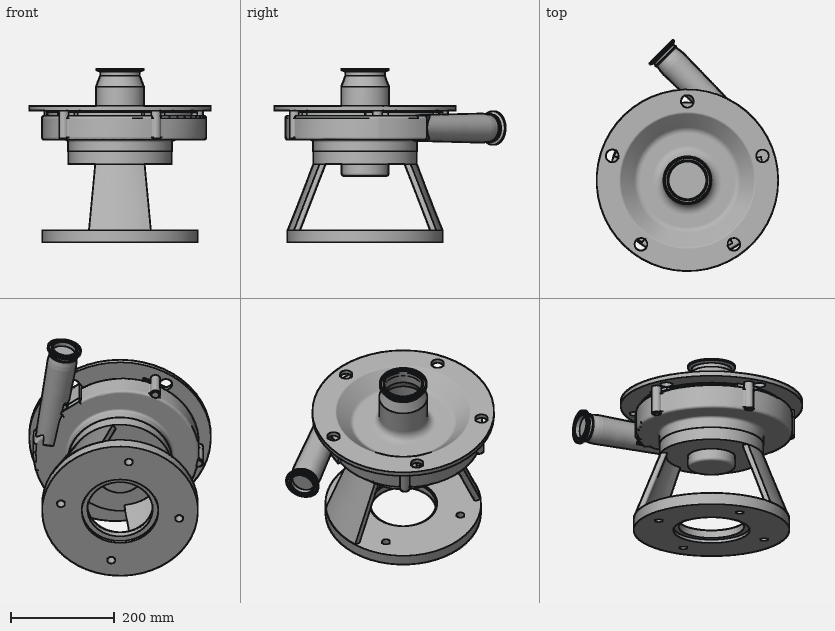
import cadquery as cq
import math

total_height = 334.5
base_height = 23.0
hub_bottom = 127.5
collar_bottom = 150.2
casing_bottom = 197.0
casing_top = 244.0
flange_bottom = 253.0
flange_top = 262.5

base_radius = 300.0 / 2
base_bore_radius = 63.0
base_bore_chamfer_width = 2.5
base_bore_chamfer_depth = 2.0
base_recess_radius = 73.5
base_recess_depth = 6.5
base_bolt_circle = 115.0
base_bolt_radius = 7.5
base_bolt_count = 4
base_bolt_first_angle = 45.0
leg_foot_radius = 149.5
leg_foot_half_width = 59.7
leg_head_half_width = 47.5
leg_thickness = 13.0
leg_edge_round = 4.0

collar_radius = 100.0
seat_bottom = 174.7
seat_radius = 100.5
seat_flare = 5.0
hub_radius = 45.5
hub_round = 5.5

spiral_start_radius = 143.5
spiral_second_radius = 148.5
spiral_third_radius = 152.0
spiral_fourth_radius = 156.5
spiral_fifth_radius = 167.0
spiral_end_radius = 167.5
casing_round = 5.5
neck_radius = 138.5
neck_groove_radius = 136.5
cutwater_left = -13.5
cutwater_right = 35.5
cutwater_face = 149.5
cutwater_depth = 26.7
cutwater_chamfer = 4.5

boss_count = 5
boss_circle = 152.5
boss_radius = 9.5
boss_bottom = 198.0
boss_chamfer = 2.2
boss_corner_round = 3.0
boss_first_angle = 9.0
tab_half_width = 22.5
tab_outer = 147.0
tab_top = 250.0

flange_radius = 350.0 / 2
flange_hole_circle = 152.0
flange_hole_radius = 12.0
flange_hole_count = 5
flange_hole_first_angle = 18.0
dish_floor = 231.5
dish_rim_radius = 129.5
dish_floor_radius = 97.0
dish_rim_round = 5.5
dish_floor_round = 15.0

inlet_radius = 46.5
inlet_root_round = 19.5
inlet_taper_bottom = 299.0
inlet_neck_bottom = 320.5
inlet_neck_radius = 38.5
inlet_clamp_radius = 45.5
clamp_rim = 3.0
clamp_cone = 3.0
inlet_bore_radius = 36.0
inlet_bore_step_top = 305.0
inlet_bore_step_bottom = 288.0
inlet_bore_wide_radius = 43.2
groove_inner_radius = 39.0
groove_outer_radius = 43.0
groove_depth = 1.5

outlet_angle = 135.0
outlet_offset = 139.5
outlet_height = 219.8
outlet_length = 211.0
outlet_clamp_radius = 32.5
outlet_neck_radius = 26.5
outlet_bead_radius = 27.5
outlet_pipe_radius = 56.5 / 2
outlet_root_radius = 25.0
outlet_bead_start = 14.0
outlet_bead_end = 12.0
outlet_neck_start = 18.0
outlet_cone_end = 25.5
outlet_cone_radius = 27.5
outlet_pipe_end = 33.5
outlet_bore_radius = 22.5
outlet_bore_depth = 9.5
outlet_groove_inner_radius = 25.0
outlet_groove_outer_radius = 29.0


def disc(radius, bottom, top):
    return cq.Workplane("XY").workplane(offset=bottom).circle(radius).extrude(top - bottom)


def ring(inner_radius, outer_radius, bottom, top):
    return disc(outer_radius, bottom, top).cut(disc(inner_radius, bottom, top))


def lathe(points):
    """Turn a closed (radius, height) outline about the Z axis."""
    return cq.Workplane("XZ").polyline(points).close().revolve(360, (0, 0, 0), (0, 1, 0))


def polar(radius, angle):
    turn = math.radians(angle)
    return (radius * math.cos(turn), radius * math.sin(turn))


def spaced_angles(first, count):
    return [first + i * 360 / count for i in range(count)]


def make_base():
    bore_mouth_radius = base_bore_radius + base_bore_chamfer_width
    bore = lathe([
        (0, 0),
        (base_recess_radius, 0),
        (base_recess_radius, base_recess_depth),
        (base_bore_radius, base_recess_depth),
        (base_bore_radius, base_height - base_bore_chamfer_depth),
        (bore_mouth_radius, base_height),
        (0, base_height),
    ])
    plate = disc(base_radius, 0, base_height).cut(bore)
    for angle in spaced_angles(base_bolt_first_angle, base_bolt_count):
        hole = disc(base_bolt_radius, 0, base_height).translate(polar(base_bolt_circle, angle) + (0,))
        plate = plate.cut(hole)
    return plate


def make_leg():
    """Tapered strip of a conical shell, on the -Y side."""
    shell = lathe([
        (leg_foot_radius - leg_thickness, base_height),
        (leg_foot_radius, base_height),
        (collar_radius, collar_bottom),
        (collar_radius - leg_thickness, collar_bottom),
    ])
    strip = (
        cq.Workplane("XZ")
        .polyline([
            (-leg_foot_half_width, base_height),
            (leg_foot_half_width, base_height),
            (leg_head_half_width, collar_bottom),
            (-leg_head_half_width, collar_bottom),
        ])
        .close()
        .extrude(base_radius)
    )
    leg = shell.intersect(strip)
    middle_height = (base_height + collar_bottom) / 2
    middle_x = (leg_foot_half_width + leg_head_half_width) / 2
    inner_radius = (leg_foot_radius + collar_radius) / 2 - leg_thickness
    inner_y = -math.sqrt(inner_radius**2 - middle_x**2)
    for side in (-1, 1):
        edge_middle = (side * middle_x, inner_y, middle_height)
        leg = leg.edges(cq.selectors.NearestToPointSelector(edge_middle)).fillet(leg_edge_round)
    return leg


def make_collar_and_hub():
    collar = disc(collar_radius, collar_bottom, seat_bottom)
    seat = disc(seat_radius, seat_bottom, casing_bottom)
    flare = (
        cq.Workplane("XZ")
        .moveTo(0, casing_bottom - seat_flare)
        .lineTo(seat_radius, casing_bottom - seat_flare)
        .radiusArc((seat_radius + seat_flare, casing_bottom), seat_flare)
        .lineTo(0, casing_bottom)
        .close()
        .revolve(360, (0, 0, 0), (0, 1, 0))
    )
    hub = disc(hub_radius, hub_bottom, collar_bottom).faces("<Z").edges().fillet(hub_round)
    return collar.union(seat).union(flare).union(hub)


def make_spiral(bottom, top):
    """Prism with the spiral outline, widening from +Y round by -X to the outlet pipe."""
    angles = spaced_angles(boss_first_angle, boss_count)
    pipe_side = outlet_angle - 90
    last_arc_middle = polar(spiral_fifth_radius, (boss_first_angle + pipe_side) / 2)
    return (
        cq.Workplane("XY")
        .workplane(offset=bottom)
        .moveTo(*polar(spiral_start_radius, angles[1]))
        .threePointArc(polar(spiral_second_radius, angles[2]), polar(spiral_third_radius, angles[3]))
        .threePointArc(polar(spiral_fourth_radius, angles[4]), polar(spiral_fifth_radius, angles[0]))
        .threePointArc(last_arc_middle, polar(spiral_end_radius, pipe_side))
        .close()
        .extrude(top - bottom)
    )


def make_casing():
    """Spiral drum with rounded rims and a stepped round neck above it."""
    drum = make_spiral(casing_bottom, casing_top).faces("<Z or >Z").edges().fillet(casing_round)
    neck = disc(neck_radius, casing_top, tab_top).union(disc(neck_groove_radius, tab_top, flange_bottom))
    return drum.union(neck)


def make_boss(angle):
    """Post up to the flange with a flat tab behind it."""
    post = disc(boss_radius, boss_bottom, flange_bottom).faces("<Z").chamfer(boss_chamfer)
    post = post.translate((boss_circle, 0, 0))
    tab_reach = tab_outer - neck_radius / 2
    tab = (
        cq.Workplane("XY")
        .box(tab_reach, 2 * tab_half_width, tab_top - casing_top, centered=(False, True, False))
        .translate((tab_outer - tab_reach, 0, casing_top))
    )
    return post.union(tab).rotate((0, 0, 0), (0, 0, 1), angle)


def make_boss_fairings(angles):
    """Straight band of the drum wall with rounded inside corners beside the bosses."""
    bottom = casing_bottom + casing_round
    top = casing_top - casing_round
    band = make_spiral(bottom, top)
    for angle in angles:
        band = band.union(disc(boss_radius, bottom, top).translate(polar(boss_circle, angle) + (0,)))
    corner_turn = math.degrees(boss_radius / boss_circle)
    for angle in angles:
        for side in (-1, 1):
            corner = polar(boss_circle, angle + side * corner_turn) + ((bottom + top) / 2,)
            nearest = cq.selectors.NearestToPointSelector(corner)
            band = band.edges("|Z").edges(nearest).fillet(boss_corner_round)
    return band


def make_cutwater():
    """Flat-sided block where the start of the spiral meets the outlet pipe."""
    width = cutwater_right - cutwater_left
    return (
        cq.Workplane("XY")
        .box(width, cutwater_depth, tab_top - casing_bottom, centered=False)
        .translate((cutwater_left, cutwater_face - cutwater_depth, casing_bottom))
        .faces("<Z").edges("<X or >Y").chamfer(cutwater_chamfer)
    )


def make_flange():
    flange = disc(flange_radius, flange_bottom, flange_top)
    for angle in spaced_angles(flange_hole_first_angle, flange_hole_count):
        hole = disc(flange_hole_radius, flange_bottom, flange_top)
        flange = flange.cut(hole.translate(polar(flange_hole_circle, angle) + (0,)))
    return flange


def make_dish_void():
    """Space removed above the casing around the inlet pipe, with rounded corners."""
    slope = math.atan2(flange_top - dish_floor, dish_rim_radius - dish_floor_radius)
    floor_trim = dish_floor_round * math.tan(slope / 2)
    rim_trim = dish_rim_round * math.tan(slope / 2)
    along = (math.cos(slope), math.sin(slope))
    return (
        cq.Workplane("XZ")
        .moveTo(inlet_radius, flange_top)
        .lineTo(inlet_radius, dish_floor + inlet_root_round)
        .radiusArc((inlet_radius + inlet_root_round, dish_floor), -inlet_root_round)
        .lineTo(dish_floor_radius - floor_trim, dish_floor)
        .radiusArc(
            (dish_floor_radius + floor_trim * along[0], dish_floor + floor_trim * along[1]),
            -dish_floor_round,
        )
        .lineTo(dish_rim_radius - rim_trim * along[0], flange_top - rim_trim * along[1])
        .radiusArc((dish_rim_radius + rim_trim, flange_top), dish_rim_round)
        .close()
        .revolve(360, (0, 0, 0), (0, 1, 0))
    )


def make_inlet():
    pipe = lathe([
        (0, dish_floor),
        (inlet_radius, dish_floor),
        (inlet_radius, inlet_taper_bottom),
        (inlet_neck_radius, inlet_neck_bottom),
        (inlet_neck_radius, total_height - clamp_rim - clamp_cone),
        (inlet_clamp_radius, total_height - clamp_rim),
        (inlet_clamp_radius, total_height),
        (0, total_height),
    ])
    return pipe.cut(
        ring(groove_inner_radius, groove_outer_radius, total_height - groove_depth, total_height)
    )


def make_inlet_bore():
    """Blind bore that widens below the clamp neck."""
    return lathe([
        (0, dish_floor),
        (inlet_bore_wide_radius, dish_floor),
        (inlet_bore_wide_radius, inlet_bore_step_bottom),
        (inlet_bore_radius, inlet_bore_step_top),
        (inlet_bore_radius, total_height),
        (0, total_height),
    ])


def make_outlet():
    """Pipe leaving the casing along a tangent, with a clamp rim and a shallow blind bore."""
    pipe = lathe([
        (0, 0),
        (outlet_root_radius, 0),
        (outlet_pipe_radius, outlet_length - outlet_pipe_end),
        (outlet_cone_radius, outlet_length - outlet_cone_end),
        (outlet_neck_radius, outlet_length - outlet_neck_start),
        (outlet_neck_radius, outlet_length - outlet_bead_start),
        (outlet_bead_radius, outlet_length - outlet_bead_start),
        (outlet_bead_radius, outlet_length - outlet_bead_end),
        (outlet_neck_radius, outlet_length - outlet_bead_end),
        (outlet_neck_radius, outlet_length - clamp_rim - clamp_cone),
        (outlet_clamp_radius, outlet_length - clamp_rim),
        (outlet_clamp_radius, outlet_length),
        (0, outlet_length),
    ])
    pipe = pipe.cut(disc(outlet_bore_radius, outlet_length - outlet_bore_depth, outlet_length))
    pipe = pipe.cut(ring(
        outlet_groove_inner_radius,
        outlet_groove_outer_radius,
        outlet_length - groove_depth,
        outlet_length,
    ))
    root = polar(outlet_offset, outlet_angle - 90) + (outlet_height,)
    direction = polar(1, outlet_angle) + (0,)
    frame = cq.Plane(origin=root, xDir=(0, 0, 1), normal=direction)
    return cq.Workplane(pipe.val().moved(cq.Location(frame)))


front_leg = make_leg()
stand = make_base().union(front_leg).union(front_leg.mirror("XZ")).union(make_collar_and_hub())
casing = make_casing().union(make_cutwater())
boss_angles = spaced_angles(boss_first_angle, boss_count)
for boss_angle in boss_angles:
    casing = casing.union(make_boss(boss_angle))
casing = casing.union(make_boss_fairings(boss_angles[2:]))

body = stand.union(casing).union(make_flange()).union(make_outlet())
result = body.cut(make_dish_void()).union(make_inlet()).cut(make_inlet_bore()).clean()